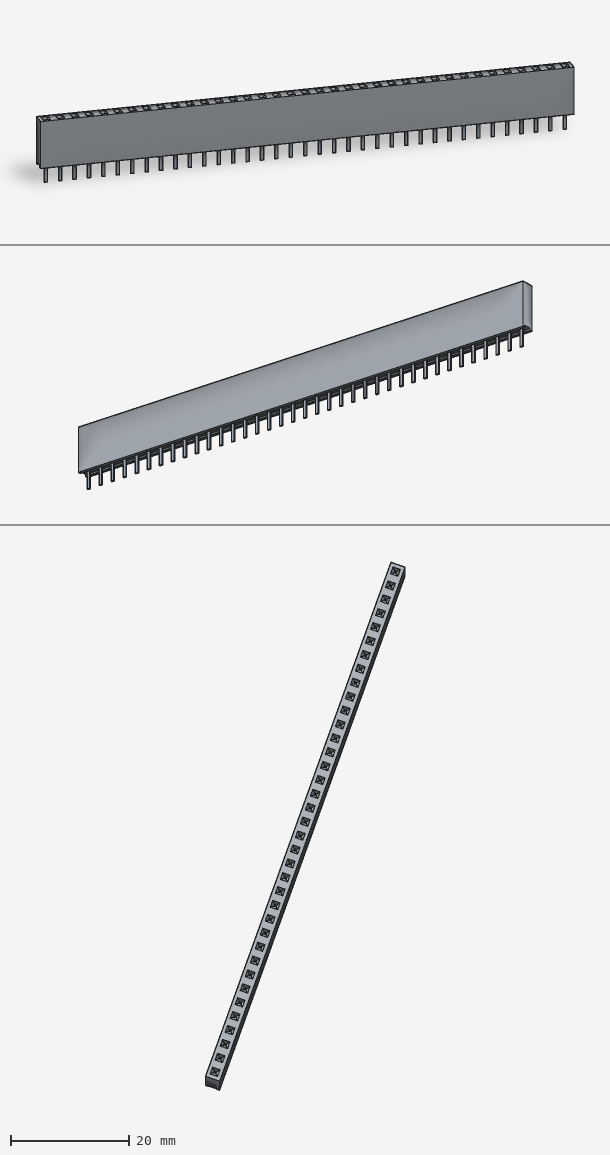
import cadquery as cq

position_count = 37
strip_length = 94.0
pitch = strip_length / position_count
body_width = 2.5
total_height = 11.6
body_height = 8.55

channel_width = 1.4
channel_depth = 0.4

mouth_width = 1.3
mouth_length = 1.2
mouth_depth = 0.5
slot_width = mouth_width - 2 * mouth_depth
slot_length = mouth_length - 2 * mouth_depth
socket_depth = 5.6

pin_thickness = 0.3
pin_width = 0.6

pin_length = total_height - body_height + channel_depth
position_points = [
    (0, (index - (position_count - 1) / 2) * pitch) for index in range(position_count)
]


def make_housing():
    """Long block standing on Z = 0 with an open channel along its underside."""
    block = cq.Workplane("XY").box(
        body_width, strip_length, body_height, centered=(True, True, False)
    )
    channel = cq.Workplane("XY").box(
        channel_width, strip_length, channel_depth, centered=(True, True, False)
    )
    return block.cut(channel)


def make_socket():
    """Cutter for one socket, with its mouth on the top of the housing."""
    mouth = (
        cq.Workplane("XY", origin=(0, 0, body_height))
        .rect(mouth_width, mouth_length)
        .workplane(offset=-mouth_depth)
        .rect(slot_width, slot_length)
        .loft(ruled=True)
    )
    slot = (
        cq.Workplane("XY", origin=(0, 0, body_height - mouth_depth))
        .rect(slot_width, slot_length)
        .extrude(mouth_depth - socket_depth)
    )
    return mouth.union(slot).val()


def make_sockets():
    """Cutters for the whole row of sockets."""
    socket = make_socket()
    return cq.Workplane("XY").pushPoints(position_points).eachpoint(lambda place: socket.moved(place))


def make_pins():
    """Row of flat pins hanging from the roof of the channel."""
    return (
        cq.Workplane("XY", origin=(0, 0, channel_depth))
        .pushPoints(position_points)
        .rect(pin_thickness, pin_width)
        .extrude(-pin_length)
    )


result = make_housing().cut(make_sockets()).union(make_pins())